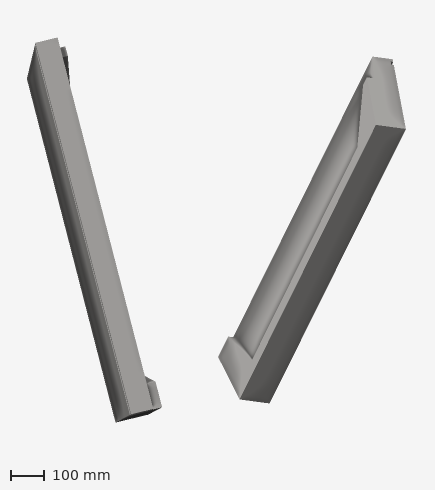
import cadquery as cq
import math

length_x = 961.0
depth = 102.0
height = 890.0
top_corner_x = 79.0
left_corner_z = 661.0
bottom_corner_x = 817.0
right_corner_z = 175.0

top_face_depth = 69.0
left_ledge_drop = 72.0
left_ledge_depth = 79.0
middle_ledge_drop = 192.0
right_ledge_drop = 24.0

left_ledge_end = 56.0
middle_ledge_start = 198.0
middle_ledge_end = 1012.0
right_ledge_start = 1057.0

groove_drop = 9.0
groove_width = 10.0
groove_depth = 9.0

overrun = 192.0

slope_run = length_x - top_corner_x
slope_drop = height - right_corner_z
slope_length = math.hypot(slope_run, slope_drop)
lean_per_drop = (left_ledge_depth - top_face_depth) / left_ledge_drop

slope_plane = cq.Plane(
    origin=(top_corner_x, 0, height),
    xDir=(slope_run, 0, -slope_drop),
    normal=(0, 1, 0),
)


def make_plate():
    outline = [
        (0, left_corner_z),
        (top_corner_x, height),
        (length_x, right_corner_z),
        (bottom_corner_x, 0),
    ]
    return cq.Workplane("XZ").polyline(outline).close().extrude(-depth)


def make_relief():
    """Region above the stepped ledges and behind the leaning wall."""
    start = -overrun
    end = slope_length + overrun
    ledge_outline = [
        (start, -overrun),
        (start, left_ledge_drop),
        (left_ledge_end, left_ledge_drop),
        (middle_ledge_start, middle_ledge_drop),
        (middle_ledge_end, middle_ledge_drop),
        (right_ledge_start, right_ledge_drop),
        (end, right_ledge_drop),
        (end, -overrun),
    ]
    above_ledges = cq.Workplane(slope_plane).polyline(ledge_outline).close().extrude(depth + overrun)

    across_plane = cq.Plane(
        origin=slope_plane.toWorldCoords((start, 0, 0)),
        xDir=slope_plane.yDir,
        normal=slope_plane.xDir,
    )
    wall_outline = [
        (-overrun, top_face_depth - lean_per_drop * overrun),
        (2 * overrun, top_face_depth + lean_per_drop * 2 * overrun),
        (2 * overrun, depth + overrun),
        (-overrun, depth + overrun),
    ]
    behind_wall = cq.Workplane(across_plane).polyline(wall_outline).close().extrude(end - start)
    return above_ledges.intersect(behind_wall)


def make_groove():
    return (
        cq.Workplane(slope_plane)
        .moveTo(-overrun, groove_drop)
        .rect(slope_length + 2 * overrun, groove_width, centered=False)
        .extrude(groove_depth)
    )


result = make_plate().cut(make_relief()).cut(make_groove())